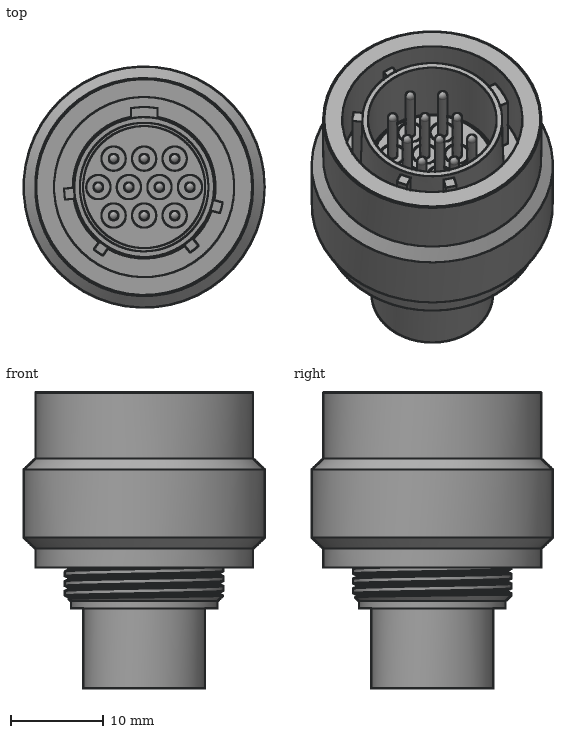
import cadquery as cq

height = 32.05
stem_top = 8.65
thread_bottom = 9.42
thread_top = 13.05
grip_bottom = 15.1
grip_top = 24.85
grip_slope_height = 1.2
socket_depth = 8.4
socket_floor = height - socket_depth

stem_radius = 6.6
collar_radius = 7.95
thread_root_radius = 8.17
thread_crest_radius = 8.6
body_radius = 11.8
grip_radius = 13.05
rim_bevel_width = 0.13
rim_bevel_height = 0.1

thread_pitch = 1.05
thread_base_width = 1.0
thread_crest_width = 0.48
thread_embed = 0.13
helix_start = 8.7
helix_turns = 5
thread_overrun = 0.95
envelope_margin = 0.32

socket_radius = 9.75
ring_base_radius = 7.72
ring_inner_radius = 6.95
ring_drop = 0.1
ring_rim_radius = 7.55
key_outer_radius = 8.65
key_drop = 0.83
main_key_width = 2.85
small_key_width = 1.2
main_key_angle = 90
small_key_angles = (185, 235, 309, 345)

insert_radius = 6.6
insert_gap_depth = 0.32
pin_radius = 0.5
pin_drop = 1.22
pin_spacing = 3.3
pin_row_offset = 3.08
pin_rows = ((-pin_row_offset, 3), (0, 4), (pin_row_offset, 3))
contact_recess_radius = 1.3
contact_recess_depth = 0.15
pin_centers = [
    ((column - (count - 1) / 2) * pin_spacing, y)
    for y, count in pin_rows
    for column in range(count)
]


def cylinder(radius, bottom, top):
    return cq.Workplane("XY").workplane(offset=bottom).circle(radius).extrude(top - bottom)


def tube(outer_radius, inner_radius, bottom, top):
    profile = cq.Workplane("XY").workplane(offset=bottom).circle(outer_radius).circle(inner_radius)
    return profile.extrude(top - bottom)


def revolved(points):
    """Turn a (radius, height) outline around the Z axis."""
    return cq.Workplane("XZ").polyline(points).close().revolve(360, (0, 0), (0, 1))


def make_body():
    return revolved([
        (0, 0),
        (stem_radius, 0),
        (stem_radius, stem_top),
        (collar_radius, stem_top),
        (collar_radius, thread_top),
        (body_radius, thread_top),
        (body_radius, grip_bottom),
        (grip_radius, grip_bottom + grip_slope_height),
        (grip_radius, grip_top - grip_slope_height),
        (body_radius, grip_top),
        (body_radius, height - rim_bevel_height),
        (body_radius - rim_bevel_width, height),
        (0, height),
    ])


def make_thread():
    """Threaded sleeve: core and right-handed ridge, ending below in a 45 degree lead-in."""
    base_radius = thread_root_radius - thread_embed
    helix_height = helix_turns * thread_pitch
    helix_end = helix_start + helix_height
    path = cq.Wire.makeHelix(thread_pitch, helix_height, base_radius, cq.Vector(0, 0, helix_start))
    ridge = (
        cq.Workplane("XZ")
        .polyline([
            (base_radius, helix_start - thread_base_width / 2),
            (thread_crest_radius, helix_start - thread_crest_width / 2),
            (thread_crest_radius, helix_start + thread_crest_width / 2),
            (base_radius, helix_start + thread_base_width / 2),
        ])
        .close()
        .sweep(cq.Workplane(path), isFrenet=True)
    )
    limit_radius = thread_crest_radius + envelope_margin
    envelope = revolved([
        (0, thread_bottom),
        (collar_radius, thread_bottom),
        (limit_radius, thread_bottom + limit_radius - collar_radius),
        (limit_radius, thread_top + thread_embed),
        (0, thread_top + thread_embed),
    ])
    core = cylinder(thread_root_radius, helix_start - thread_overrun, helix_end + thread_overrun)
    return core.union(ridge).intersect(envelope)


def make_key(angle, width):
    """Axial rib on the outside of the shroud ring, rounded off at the key circle."""
    key_top = height - key_drop
    root_radius = (ring_inner_radius + ring_rim_radius) / 2
    bar = (
        cq.Workplane("XY")
        .workplane(offset=socket_floor)
        .center(key_outer_radius, 0)
        .rect(2 * (key_outer_radius - root_radius), width)
        .extrude(key_top - socket_floor)
        .rotate((0, 0, 0), (0, 0, 1), angle)
    )
    return bar.intersect(cylinder(key_outer_radius, socket_floor, key_top))


def make_shroud_ring():
    """Thin ring whose outside tapers over its full height towards the rim."""
    ring_top = height - ring_drop
    return revolved([
        (ring_inner_radius, socket_floor),
        (ring_base_radius, socket_floor),
        (ring_rim_radius, ring_top),
        (ring_inner_radius, ring_top),
    ])


def make_pins():
    """Contact pins with hemispherical tips."""
    dome_base = height - pin_drop - pin_radius
    bottom = socket_floor - contact_recess_depth
    shafts = (
        cq.Workplane("XY")
        .workplane(offset=bottom)
        .pushPoints(pin_centers)
        .circle(pin_radius)
        .extrude(dome_base - bottom)
    )
    tips = cq.Workplane("XY").workplane(offset=dome_base).pushPoints(pin_centers).sphere(pin_radius)
    return shafts.union(tips)


shell = make_body().union(make_thread())
shell = shell.cut(cylinder(socket_radius, socket_floor, height))

insert_gap = tube(ring_inner_radius, insert_radius, socket_floor - insert_gap_depth, socket_floor)
contact_recesses = (
    cq.Workplane("XY")
    .workplane(offset=socket_floor)
    .pushPoints(pin_centers)
    .circle(contact_recess_radius)
    .extrude(-contact_recess_depth)
)
shell = shell.cut(insert_gap).cut(contact_recesses)

result = shell.union(make_shroud_ring()).union(make_key(main_key_angle, main_key_width))
for key_angle in small_key_angles:
    result = result.union(make_key(key_angle, small_key_width))
result = result.union(make_pins())